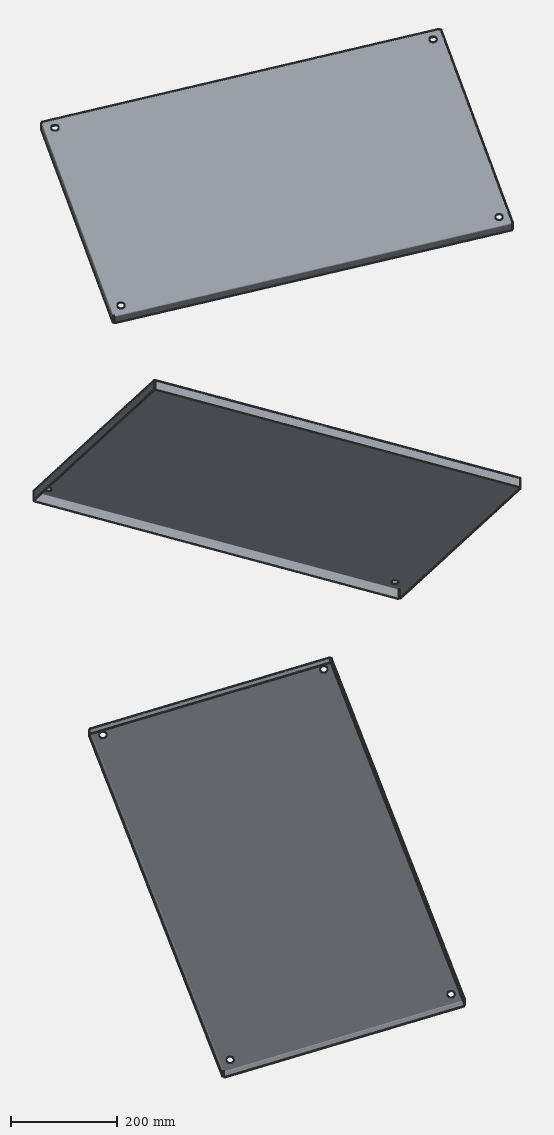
import cadquery as cq

width = 482.0
length = 784.0
height = 22.0
sheet = 2.0
bend_radius = 3.0
hole_diameter = 14.0
hole_inset = 22.0


def centered_box(size_x, size_y, size_z):
    """Box centred on X and Y, standing on Z = 0."""
    return cq.Workplane("XY").box(size_x, size_y, size_z, centered=(True, True, False))


def folded_channel(span, run):
    """Channel running along Y: a flat top with a bent-down flange on each X side."""
    outer = centered_box(span, run, height).edges("|Y and >Z").fillet(bend_radius)
    inner = centered_box(span - 2 * sheet, run, height - sheet)
    inner = inner.edges("|Y and >Z").fillet(bend_radius - sheet)
    return outer.cut(inner)


flat_width = width - 2 * bend_radius
flat_length = length - 2 * bend_radius

side_folds = folded_channel(width, flat_length)
end_folds = folded_channel(length, flat_width).rotate((0, 0, 0), (0, 0, 1), 90)
panel = side_folds.union(end_folds)

holes = (
    cq.Workplane("XY")
    .rect(width - 2 * hole_inset, length - 2 * hole_inset, forConstruction=True)
    .vertices()
    .circle(hole_diameter / 2)
    .extrude(height)
)

result = panel.cut(holes)